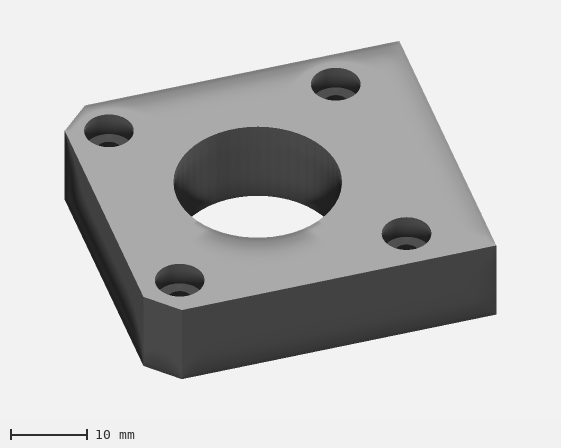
import cadquery as cq

width = 42.5
length = 47.0
thickness = 12.0
corner_chamfer = 4.0
bore_to_front = 21.0

bore_diameter = 22.0
screw_spacing = 31.0
screw_diameter = 3.4
counterbore_diameter = 6.5
counterbore_depth = 3.4

plate = (
    cq.Workplane("XY")
    .box(width, length, thickness, centered=(True, True, False))
    .translate((0, length / 2 - bore_to_front, 0))
)

plate = plate.faces("<Y").edges("|Z").chamfer(corner_chamfer)

top_plane = cq.Workplane("XY", origin=(0, 0, thickness))
bore = top_plane.circle(bore_diameter / 2).extrude(-thickness)
screw_points = top_plane.rect(screw_spacing, screw_spacing, forConstruction=True).vertices()
screw_holes = screw_points.circle(screw_diameter / 2).extrude(-thickness)
counterbores = screw_points.circle(counterbore_diameter / 2).extrude(-counterbore_depth)

result = plate.cut(bore).cut(screw_holes).cut(counterbores)